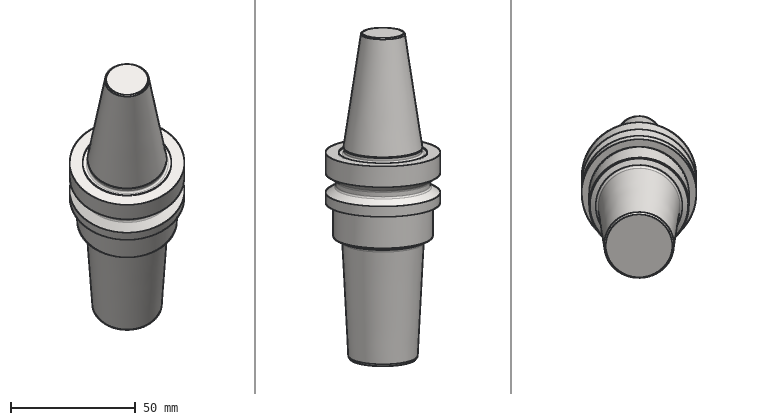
import cadquery as cq

total_height = 134.4
flange_bottom = 64.2
flange_top = 85.1
lower_rim_top = 68.5
groove_floor_bottom = 71.1
groove_floor_top = 73.9
upper_rim_bottom = 76.5
collar_bottom = 50.1
nose_top = 48.1

flange_radius = 23.0
groove_radius = 19.0
collar_radius = 20.0
nose_top_radius = 16.4
nose_bottom_radius = 14.0
taper_top_radius = 8.9
taper_base_radius = 15.9

nose_chamfer_radial = 0.7
nose_chamfer_height = 1.1
collar_chamfer = 0.4
tip_chamfer = 0.5
root_fillet = 1.0
groove_fillet = 1.0
recess_radius = 17.7
recess_depth = 0.4
neck_radius = 15.6
neck_fillet = 0.8
neck_height = 1.5
lip_height = 0.5


def nose_profile(profile):
    """Conical nose with a bevelled end, flaring out to the collar."""
    return (
        profile.lineTo(nose_bottom_radius - nose_chamfer_radial, 0)
        .lineTo(nose_bottom_radius, nose_chamfer_height)
        .lineTo(nose_top_radius, nose_top)
    )


def collar_profile(profile):
    """Rounded root and cone up to a cylindrical collar with bevelled ends."""
    return (
        profile.radiusArc((nose_top_radius + root_fillet, nose_top + root_fillet), root_fillet)
        .lineTo(collar_radius - collar_chamfer, collar_bottom)
        .lineTo(collar_radius, collar_bottom + collar_chamfer)
        .lineTo(collar_radius, flange_bottom - collar_chamfer)
        .lineTo(collar_radius - collar_chamfer, flange_bottom)
    )


def flange_profile(profile):
    """Two rims separated by a V-shaped gripper groove with a flat floor."""
    return (
        profile.lineTo(flange_radius, flange_bottom)
        .lineTo(flange_radius, lower_rim_top)
        .lineTo(groove_radius, groove_floor_bottom)
        .lineTo(groove_radius, groove_floor_top)
        .lineTo(flange_radius, upper_rim_bottom)
        .lineTo(flange_radius, flange_top)
    )


def taper_profile(profile):
    """Shallow recess around a filleted neck, then the long taper and its bevelled tip."""
    recess_floor = flange_top - recess_depth
    neck_top = flange_top + neck_height
    return (
        profile.lineTo(recess_radius, flange_top)
        .lineTo(recess_radius, recess_floor)
        .lineTo(neck_radius + neck_fillet, recess_floor)
        .radiusArc((neck_radius, recess_floor + neck_fillet), neck_fillet)
        .lineTo(neck_radius, neck_top)
        .lineTo(taper_base_radius, neck_top + lip_height)
        .lineTo(taper_top_radius, total_height - tip_chamfer)
        .lineTo(taper_top_radius - tip_chamfer, total_height)
        .lineTo(0, total_height)
    )


half_section = cq.Workplane("XZ").moveTo(0, 0)
half_section = nose_profile(half_section)
half_section = collar_profile(half_section)
half_section = flange_profile(half_section)
half_section = taper_profile(half_section).close()

holder = half_section.revolve(360, (0, 0, 0), (0, 1, 0))


def is_groove_corner(edge):
    """True for the circles bounding the groove floor."""
    return edge.geomType() == "CIRCLE" and abs(edge.radius() - groove_radius) < 0.01


result = holder.edges().filter(is_groove_corner).fillet(groove_fillet)